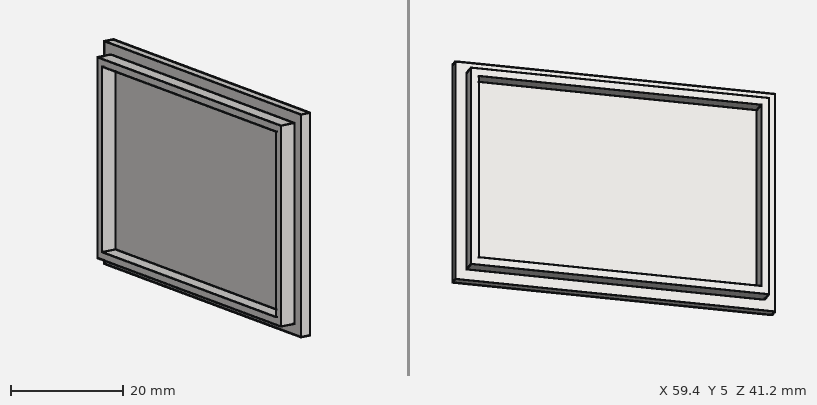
import cadquery as cq

length = 59.4
height = 41.2
depth = 5.0
plate_thickness = 2.0

rim_inset = 2.0
rim_wall = 1.4
rim_depth = depth - plate_thickness
rim_length = length - 2 * rim_inset
rim_height = height - 2 * rim_inset


def slab(size_x, size_z, front_y, thickness):
    """Rectangular slab centred on X and Z, extending toward +Y from front_y."""
    return (
        cq.Workplane("XY")
        .box(size_x, thickness, size_z, centered=(True, False, True))
        .translate((0, front_y, 0))
    )


plate = slab(length, height, rim_depth, plate_thickness)
rim_block = slab(rim_length, rim_height, 0, rim_depth)

recess = slab(rim_length - 2 * rim_wall, rim_height - 2 * rim_wall, 0, rim_depth)

result = plate.union(rim_block).cut(recess)